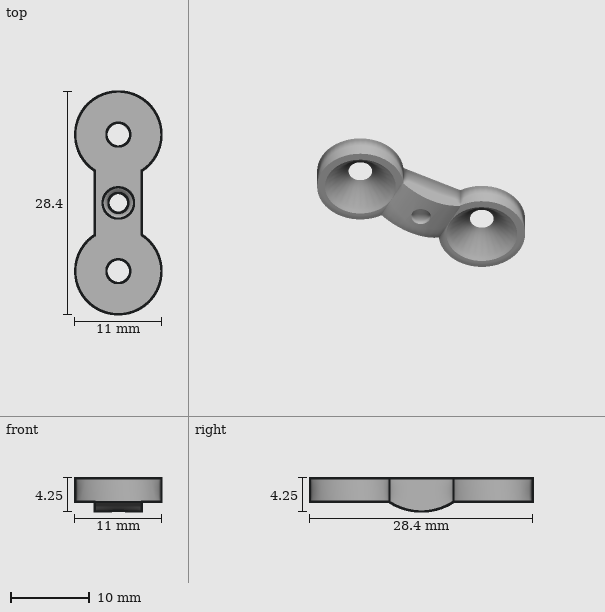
import cadquery as cq
import math

disc_diameter = 11.0
disc_spacing = 17.36
plate_thickness = 3.0
end_hole_top_diameter = 3.0
end_hole_bottom_diameter = 9.0
bar_width = 6.0
total_height = 4.25
bulge_radius = 7.5
center_hole_diameter = 2.5
countersink_diameter = 4.0
countersink_angle = 90.0

bulge_depth = total_height - plate_thickness
disc_centers = [(0, -disc_spacing / 2), (0, disc_spacing / 2)]


def make_plate():
    """Two round ends joined by a narrower straight bar, underside at Z = 0."""
    discs = (
        cq.Workplane("XY")
        .pushPoints(disc_centers)
        .circle(disc_diameter / 2)
        .extrude(plate_thickness)
    )
    bar = cq.Workplane("XY").rect(bar_width, disc_spacing).extrude(plate_thickness)
    return discs.union(bar)


def make_bulge():
    """Cylindrical belly under the bar, with its axis along X."""
    half_chord = math.sqrt(bulge_radius**2 - (bulge_radius - bulge_depth) ** 2)
    return (
        cq.Workplane("YZ")
        .moveTo(-half_chord, 0)
        .threePointArc((0, -bulge_depth), (half_chord, 0))
        .close()
        .extrude(bar_width / 2, both=True)
    )


def drill_end_holes(body):
    """Conical through holes at the disc centers, widening from the top face to the underside."""
    cone = (
        cq.Workplane("XY")
        .circle(end_hole_bottom_diameter / 2)
        .workplane(offset=plate_thickness)
        .circle(end_hole_top_diameter / 2)
        .loft(ruled=True)
    )
    for center_x, center_y in disc_centers:
        body = body.cut(cone.translate((center_x, center_y, 0)))
    return body


def drill_center_hole(body):
    """Countersunk through hole in the middle of the bar."""
    return (
        body.faces(">Z")
        .workplane(origin=(0, 0, 0))
        .cskHole(center_hole_diameter, countersink_diameter, countersink_angle)
    )


result = make_plate().union(make_bulge())
result = drill_end_holes(result)
result = drill_center_hole(result)